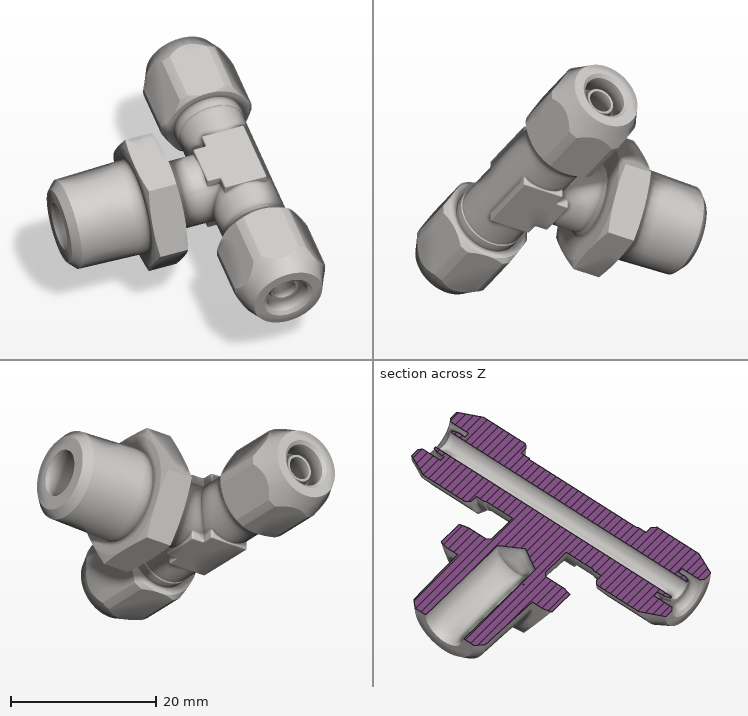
import cadquery as cq
import math


RUN_LENGTH = 45.0
BRANCH_END = 25.45
TUBE_DIA = 9.55
RUN_BORE_DIA = 3.3

NUT_LENGTH = 11.48
NUT_FLATS = 12.0
NUT_CORNER_DIA = 13.2
NUT_FACE_DIA = 9.9
NUT_NOSE_ANGLE = 25.5
NUT_BACK_ANGLE = 45.0
COLLAR_DIA = 9.85
COLLAR_LENGTH = 1.55
COLLAR_BEVEL = 0.1

SOCKET_DIA = 6.08
SOCKET_DEPTH = 3.6
SOCKET_CHAMFER_DIA = 7.05
SOCKET_CHAMFER_DEPTH = 0.4
NIPPLE_DIA = 4.6
NIPPLE_TIP_DIA = 3.95
NIPPLE_TIP_DEPTH = 1.58
NIPPLE_TAPER_LENGTH = 0.9

PAD_HEIGHT = 5.0
PAD_ROOT = 2.7
PAD_CORNER_ROUND = 0.22
PAD_RIM_ROUND = 0.2
PAD_WIDTH = 9.75
PAD_HALF_DEPTH = 3.05
PAD_STEM_WIDTH = 6.05
PAD_STEM_END = 4.95

HEX_FLATS = 17.0
HEX_BACK = 9.8
HEX_THICKNESS = 4.7
HEX_BEVEL_ANGLE = 14.0
SHOULDER_DIA = 10.55
SHOULDER_LENGTH = 0.5

THREAD_DIA = 13.3
THREAD_TAPER = 1 / 16
TIP_CHAMFER_LENGTH = 1.1
TIP_DIA = 10.5
BRANCH_BORE_DIA = 6.65
BRANCH_BORE_END = HEX_BACK
DRILL_POINT_ANGLE = 118.0

RUN_HALF = RUN_LENGTH / 2


def turned(profile):
    """Solid of revolution about X from (x, radius) points."""
    outline = [*profile, (profile[-1][0], 0)]
    first_x, first_radius = profile[0]
    if first_radius > 0:
        outline.append((first_x, 0))
    return cq.Workplane("XY").polyline(outline).close().revolve(360, (0, 0, 0), (1, 0, 0))


def hexagon(flats, start, length):
    """Hexagonal bar along +X with flats facing +Z and -Z."""
    corner_dia = flats / math.cos(math.radians(30))
    bar = cq.Workplane("YZ").polygon(6, corner_dia).extrude(length)
    return bar.translate((start, 0, 0))


def on_branch(solid):
    """Turn a solid built along +X so that it lies along -Y."""
    return solid.rotate((0, 0, 0), (0, 0, 1), -90)


def nut():
    """Compression nut on +X: hexagon with a nose cone and beveled back corners."""
    back = RUN_HALF - NUT_LENGTH
    corner_r = NUT_CORNER_DIA / 2
    face_r = NUT_FACE_DIA / 2
    flat_r = NUT_FLATS / 2
    nose_length = (corner_r - face_r) / math.tan(math.radians(NUT_NOSE_ANGLE))
    bevel = (corner_r - flat_r) * math.tan(math.radians(NUT_BACK_ANGLE))
    envelope = turned([
        (back, flat_r),
        (back + bevel, corner_r),
        (RUN_HALF - nose_length, corner_r),
        (RUN_HALF, face_r),
    ])
    return hexagon(NUT_FLATS, back, NUT_LENGTH).intersect(envelope)


def collar():
    """Short raised ring on the run just behind the nut."""
    back = RUN_HALF - NUT_LENGTH
    start = back - COLLAR_LENGTH
    radius = COLLAR_DIA / 2
    return turned([
        (start, radius - COLLAR_BEVEL),
        (start + COLLAR_BEVEL, radius),
        (back, radius),
    ])


def socket():
    """Ring-shaped cavity around the nipple, open at the nut face."""
    floor = RUN_HALF - SOCKET_DEPTH
    tip = RUN_HALF - NIPPLE_TIP_DEPTH
    cavity = turned([
        (floor, SOCKET_DIA / 2),
        (RUN_HALF - SOCKET_CHAMFER_DEPTH, SOCKET_DIA / 2),
        (RUN_HALF, SOCKET_CHAMFER_DIA / 2),
    ])
    nipple = turned([
        (floor, NIPPLE_DIA / 2),
        (tip - NIPPLE_TAPER_LENGTH, NIPPLE_DIA / 2),
        (tip, NIPPLE_TIP_DIA / 2),
    ])
    return cavity.cut(nipple)


def wrench_pad():
    """T-shaped pad with rounded corners and rim on the +Z side."""
    height = PAD_HEIGHT - PAD_ROOT
    half = PAD_WIDTH / 2
    stem = PAD_STEM_WIDTH / 2
    outline = [
        (-half, PAD_HALF_DEPTH),
        (half, PAD_HALF_DEPTH),
        (half, -PAD_HALF_DEPTH),
        (stem, -PAD_HALF_DEPTH),
        (stem, -PAD_STEM_END),
        (-stem, -PAD_STEM_END),
        (-stem, -PAD_HALF_DEPTH),
        (-half, -PAD_HALF_DEPTH),
    ]
    root = cq.Workplane("XY").workplane(offset=PAD_ROOT).polyline(outline).close()
    pad = root.extrude(height).edges("|Z").fillet(PAD_CORNER_ROUND)
    return pad.faces(">Z").edges().fillet(PAD_RIM_ROUND)


def branch_hexagon():
    """Wrench hexagon of the branch with beveled corners, built along +X."""
    corner_r = HEX_FLATS / 2 / math.cos(math.radians(30))
    flat_r = HEX_FLATS / 2
    bevel = (corner_r - flat_r) * math.tan(math.radians(HEX_BEVEL_ANGLE))
    front = HEX_BACK + HEX_THICKNESS
    envelope = turned([
        (HEX_BACK, flat_r),
        (HEX_BACK + bevel, corner_r),
        (front - bevel, corner_r),
        (front, flat_r),
    ])
    bar = hexagon(HEX_FLATS, HEX_BACK, HEX_THICKNESS)
    return bar.intersect(envelope)


def branch_body():
    """Branch tube, shoulder cone and tapered thread body in one turning, built along +X."""
    tube_r = TUBE_DIA / 2
    thread_start = HEX_BACK + HEX_THICKNESS
    chamfer_start = BRANCH_END - TIP_CHAMFER_LENGTH
    chamfer_dia = THREAD_DIA - (chamfer_start - thread_start) * THREAD_TAPER
    return turned([
        (0, tube_r),
        (HEX_BACK - SHOULDER_LENGTH, tube_r),
        (HEX_BACK, SHOULDER_DIA / 2),
        (thread_start, SHOULDER_DIA / 2),
        (thread_start, THREAD_DIA / 2),
        (chamfer_start, chamfer_dia / 2),
        (BRANCH_END, TIP_DIA / 2),
    ])


def branch_bore():
    """Blind drilled hole with a conical bottom, built along +X."""
    bore_r = BRANCH_BORE_DIA / 2
    point_length = bore_r / math.tan(math.radians(DRILL_POINT_ANGLE / 2))
    return turned([
        (BRANCH_BORE_END - point_length, 0),
        (BRANCH_BORE_END, bore_r),
        (BRANCH_END, bore_r),
    ])


run_tube = turned([(-RUN_HALF + NUT_LENGTH, TUBE_DIA / 2), (RUN_HALF - NUT_LENGTH, TUBE_DIA / 2)])
run_bore = turned([(-RUN_HALF, RUN_BORE_DIA / 2), (RUN_HALF, RUN_BORE_DIA / 2)])

body = run_tube.union(on_branch(branch_body())).union(on_branch(branch_hexagon()))
body = body.union(wrench_pad()).union(wrench_pad().mirror("XY"))

for end_part in (collar(), nut()):
    body = body.union(end_part).union(end_part.mirror("YZ"))

body = body.cut(socket()).cut(socket().mirror("YZ"))
result = body.cut(run_bore).cut(on_branch(branch_bore()))